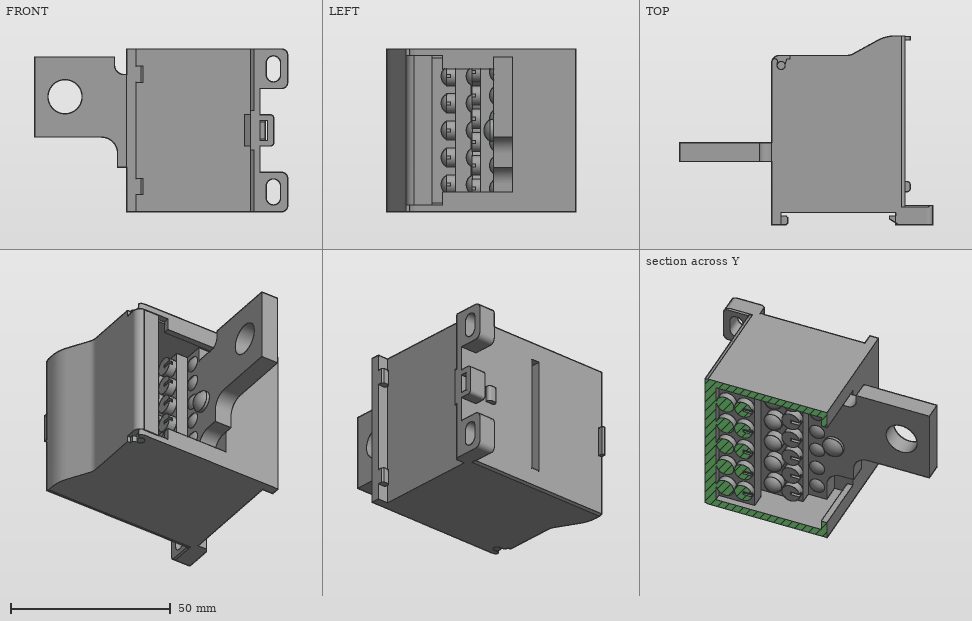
import cadquery as cq
import math


half_width = 25.5
front_plate = 3.0
rear_face = 41.8
tab_end = 50.45
body_base = 3.9
lid_height = 53.1
full_height = 59.2
slope_start = 24.6
crest_start = 35.7
crest_radius = 11.1
slope_radius = 3.95
lid_corner_radius = 2.45
foot_start = 38.8
foot_height = 6.1

floor = 19.8
window_top = 41.7
window_half = 19.25
lid_bottom = 45.1
lid_half = 23.4
lid_recess = 0.2
cavity_half = 22.65
cavity_front = 2.0
cavity_rear = 38.0

bar_tip = -28.75
bar_thickness = 5.95
bar_top = floor + bar_thickness
rail_start = 6.3
rail_end = 12.7

lower_step_top = 29.8
lower_step_start = rail_end
upper_step_top = 37.6
upper_step_bottom = 32.7
upper_step_start = 25.75

screw_radius = 3.0
screw_height = 2.8
domed_height = 4.5
dome_rise = 2.0
slot_width = 0.95
slot_depth = 1.2
upper_pitch = 8.5
upper_count = 5
lower_pitch = 7.3
lower_count = 6


def box(x0, x1, y0, y1, z0, z1):
    """Axis-aligned block between two opposite corners."""
    return cq.Workplane("XY").box(x1 - x0, y1 - y0, z1 - z0, centered=False).translate((x0, y0, z0))


def centred_box(x0, x1, y0, y1, half):
    """Block that is symmetric about Z = 0."""
    return box(x0, x1, y0, y1, -half, half)


def prism_z(points, z0, z1):
    """Extrude an XY outline between two Z levels."""
    return cq.Workplane("XY").workplane(offset=z0).polyline(points).close().extrude(z1 - z0)


def plate_xz(outline, y0, y1):
    """Extrude an outline drawn on the XZ plane between two Y levels."""
    return outline.extrude(y0 - y1).translate((0, y0, 0))


def housing_shell():
    """Outer body: front plate, flat lid top, sloping rear crest and rear foot."""
    outline = [
        (0, 0),
        (0, lid_height),
        (slope_start, lid_height),
        (crest_start, full_height),
        (rear_face, full_height),
        (rear_face, 0),
        (foot_start, 0),
        (foot_start, body_base),
        (front_plate, body_base),
        (front_plate, 0),
    ]
    body = prism_z(outline, -half_width, half_width)
    for x, y, radius in (
        (0, lid_height, lid_corner_radius),
        (slope_start, lid_height, slope_radius),
        (crest_start, full_height, crest_radius),
    ):
        edge = cq.selectors.NearestToPointSelector((x, y, 0))
        body = body.edges("|Z").edges(edge).fillet(radius)
    return body


tab_inner = 13.1
tab_radius = 2.0
tab_slot_x = 45.9
tab_slot_z = 19.25
tab_slot_length = 8.1
tab_slot_width = 4.4
clip_end = 46.1
clip_half = 4.9
clip_radius = 1.1
clip_window_end = 44.0
clip_window_half = 3.1


def mounting_tabs():
    """Two slotted screw tabs and the windowed clip tab between them."""
    tab = box(foot_start, tab_end, 0, foot_height, tab_inner, half_width)
    tab = tab.edges("|Y and >X").fillet(tab_radius)
    slot = cq.Workplane("XZ").center(tab_slot_x, tab_slot_z).slot2D(tab_slot_length, tab_slot_width, 90)
    tab = tab.cut(plate_xz(slot, 0, foot_height))
    clip = centred_box(foot_start, clip_end, 0, foot_height, clip_half).edges("|Y and >X").fillet(clip_radius)
    clip = clip.cut(centred_box(rear_face, clip_window_end, 0, foot_height, clip_window_half))
    return tab.union(tab.mirror("XY")).union(clip)


def rail_hook():
    """Wedge-shaped hook at the front of the foot."""
    tip_x, tip_top, tip_bottom, root_x = 36.8, 2.85, 1.9, 39.8
    points = [(tip_x, tip_top), (tip_x, tip_bottom), (root_x, 0), (root_x, tip_top)]
    return prism_z(points, -clip_half, clip_half)


def foot_bevels():
    """Bevels along the lower front edge of the foot, either side of the hook."""
    length, height, inner = 1.0, 0.7, 6.2
    points = [(foot_start, 0), (foot_start + length, 0), (foot_start, height)]
    bevel = prism_z(points, inner, half_width)
    return bevel.union(bevel.mirror("XY"))


def rear_edge_bevels():
    """Shallow bevels on the rear side edges of the body and the upper edges of the tabs."""
    drop, body_bevel, tab_bevel = 0.4, 1.1, 0.55
    low_side = half_width - drop
    body_points = [(rear_face - body_bevel, half_width), (rear_face, half_width), (rear_face, low_side)]
    body_cut = cq.Workplane("XZ").polyline(body_points).close()
    bevel = plate_xz(body_cut, foot_height - tab_bevel, full_height)
    tab_points = [(foot_height - tab_bevel, half_width), (foot_height, half_width), (foot_height, low_side)]
    tab_plane = cq.Workplane("YZ").workplane(offset=rear_face)
    tab_cut = tab_plane.polyline(tab_points).close().extrude(tab_end - rear_face)
    bevel = bevel.union(tab_cut)
    return bevel.union(bevel.mirror("XY"))


def front_clips():
    """Two bevelled catches behind the lower edge of the front plate."""
    end, top, bevel, inner, outer = 5.1, 2.85, 0.55, 15.05, 20.1
    clip = box(front_plate, end, 0, top, inner, outer).edges("|Z and >X").chamfer(bevel)
    return clip.union(clip.mirror("XY"))


def rear_nubs():
    """Rounded catch above the clip tab and a small lip at the top of the rear face."""
    end, lip_bottom, lip_top = 43.4, 57.8, 59.0
    catch_bottom, catch_top, catch_half, catch_radius = 10.4, 13.6, 2.6, 1.0
    catch = centred_box(rear_face, end, catch_bottom, catch_top, catch_half)
    catch = catch.edges("|Z and >X").fillet(catch_radius)
    lip = centred_box(rear_face, end, lip_bottom, lip_top, clip_half)
    return catch.union(lip)


def hinge_recess():
    """Cut that shapes each side cheek around the lid hinge, leaving the round pin slightly sunk."""
    pin_x, pin_y, pin_radius, pin_sink = 3.0, 49.9, 1.3, 0.15
    seat_y = 50.4
    bump_start, bump_end, bump_side, bump_top = 0.15, 1.8, 51.25, 52.0
    notch_start, notch_end, notch_bottom = 4.75, 5.8, 51.95
    depth = half_width - lid_half
    base = cq.Workplane("XY").workplane(offset=lid_half)
    cut = (
        base.moveTo(0, seat_y)
        .lineTo(bump_start, bump_side)
        .threePointArc(((bump_start + bump_end) / 2, bump_top), (bump_end, bump_side))
        .lineTo(pin_x - pin_radius, seat_y)
        .lineTo(pin_x + pin_radius, seat_y)
        .lineTo(notch_start, notch_bottom)
        .lineTo(notch_end, notch_bottom)
        .lineTo(notch_end, lid_height)
        .lineTo(0, lid_height)
        .close()
        .extrude(depth)
    )
    hole = base.center(pin_x, pin_y).circle(pin_radius).extrude(depth)
    pin = base.center(pin_x, pin_y).circle(pin_radius).extrude(depth - pin_sink)
    cut = cut.union(hole).cut(pin)
    return cut.union(cut.mirror("XY"))


def interior():
    """Terminal chamber, front window, lid gap, recessed lid face and rear slit."""
    space = centred_box(cavity_front, cavity_rear, floor, lid_bottom, cavity_half)
    space = space.union(centred_box(0, cavity_front, floor, window_top, window_half))
    space = space.union(centred_box(0, cavity_front, window_top, lid_bottom, lid_half))
    space = space.union(centred_box(0, lid_recess, lid_bottom, lid_height - lid_corner_radius, lid_half))
    return space.union(centred_box(cavity_rear, rear_face, lower_step_top, upper_step_bottom, window_half))


def busbar():
    """Flat connection lug with a bolt hole, joined to a full-width rail inside the housing."""
    lug_top, lug_bottom = 23.0, -2.1
    neck_top, neck_bottom = 17.5, -11.6
    lug_end, neck_start = -3.7, -2.85
    top_radius, lug_radius, rail_radius = 2.9, 5.0, 5.0
    hole_x, hole_z, hole_radius = -19.25, 10.5, 5.3
    outline = (
        cq.Workplane("XZ")
        .moveTo(bar_tip, lug_bottom)
        .lineTo(bar_tip, lug_top)
        .lineTo(lug_end, lug_top)
        .lineTo(lug_end, neck_top + top_radius)
        .radiusArc((lug_end + top_radius, neck_top), -top_radius)
        .lineTo(rail_start, neck_top)
        .lineTo(rail_start, cavity_half)
        .lineTo(rail_end, cavity_half)
        .lineTo(rail_end, -cavity_half)
        .lineTo(rail_start, -cavity_half)
        .lineTo(rail_start, neck_bottom - rail_radius)
        .radiusArc((rail_start - rail_radius, neck_bottom), -rail_radius)
        .lineTo(neck_start, neck_bottom)
        .lineTo(neck_start, lug_bottom - lug_radius)
        .radiusArc((neck_start - lug_radius, lug_bottom), -lug_radius)
        .close()
    )
    hole = cq.Workplane("XZ").center(hole_x, hole_z).circle(hole_radius)
    return plate_xz(outline, floor, bar_top).cut(plate_xz(hole, floor, bar_top))


def terminal_steps():
    """Two stepped conductor blocks with an open gap between them."""
    lower = centred_box(lower_step_start, cavity_rear, floor, lower_step_top, cavity_half)
    upper = centred_box(upper_step_start, cavity_rear, upper_step_bottom, upper_step_top, cavity_half)
    return lower.union(upper)


def slotted_screw():
    """Flat-topped screw standing on Y = 0 with a blind slot in its front half."""
    screw = plate_xz(cq.Workplane("XZ").circle(screw_radius), 0, screw_height)
    slot = centred_box(-screw_radius, 0, screw_height - slot_depth, screw_height, slot_width / 2)
    return screw.cut(slot)


def domed_screw(radius, height):
    """Round-topped screw standing on Y = 0."""
    shoulder = height - dome_rise
    sphere_radius = (radius**2 + dome_rise**2) / (2 * dome_rise)
    half_angle = math.asin(radius / sphere_radius) / 2
    drop = sphere_radius * (1 - math.cos(half_angle))
    return (
        cq.Workplane("XY")
        .lineTo(radius, 0)
        .lineTo(radius, shoulder)
        .threePointArc((sphere_radius * math.sin(half_angle), height - drop), (0, height))
        .close()
        .revolve(360, (0, 0, 0), (0, 1, 0))
    )


def screw_row(screw, x, base, count, pitch):
    """Evenly spaced row of screws along Z, centred on Z = 0."""
    first = -(count - 1) / 2 * pitch
    return [screw.translate((x, base, first + index * pitch)) for index in range(count)]


def screws():
    """Rows of terminal screws on the steps and the rail, and the large bolt on the busbar."""
    gap = 0.15
    row_spacing = 2 * screw_radius + gap
    flat = slotted_screw()
    domed = domed_screw(screw_radius, domed_height)
    upper_front = upper_step_start + screw_radius
    lower_front = lower_step_start + screw_radius
    rail_base = 22.5
    bolt_x, bolt_radius, bolt_height = 3.9, 3.5, 3.0
    rows = [
        screw_row(flat, upper_front, upper_step_top, upper_count, upper_pitch),
        screw_row(domed, upper_front + row_spacing, upper_step_top, upper_count, upper_pitch),
        screw_row(flat, lower_front, lower_step_top, lower_count, lower_pitch),
        screw_row(domed, lower_front + row_spacing, lower_step_top, upper_count, upper_pitch),
        screw_row(domed, rail_end - screw_radius, rail_base, lower_count, lower_pitch),
        screw_row(domed_screw(bolt_radius, bolt_height), bolt_x, bar_top, 1, 0),
    ]
    return [screw for row in rows for screw in row]


housing = housing_shell().union(mounting_tabs())
housing = housing.cut(foot_bevels()).cut(rear_edge_bevels()).cut(interior()).cut(hinge_recess())
for part in (rail_hook(), front_clips(), rear_nubs(), busbar(), terminal_steps()):
    housing = housing.union(part)
for screw in screws():
    housing = housing.union(screw)

result = housing